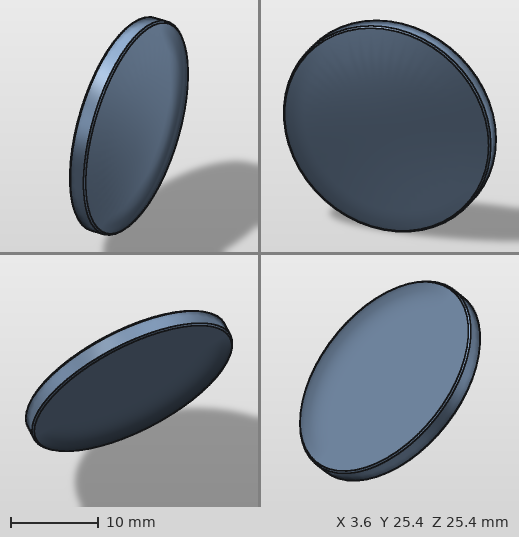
import cadquery as cq
import math

diameter = 25.4
center_thickness = 3.6
edge_thickness = 2.08
bevel = 0.2

rim_radius = diameter / 2
dome_radius = rim_radius - bevel
dome_height = center_thickness - edge_thickness
sphere_radius = (dome_radius**2 + dome_height**2) / (2 * dome_height)

mid_radius = dome_radius / 2
mid_x = center_thickness - sphere_radius + math.sqrt(sphere_radius**2 - mid_radius**2)

half_section = (
    cq.Workplane("XY")
    .moveTo(0, 0)
    .lineTo(0, rim_radius - bevel)
    .lineTo(bevel, rim_radius)
    .lineTo(edge_thickness - bevel, rim_radius)
    .lineTo(edge_thickness, dome_radius)
    .threePointArc((mid_x, mid_radius), (center_thickness, 0))
    .close()
)

result = half_section.revolve(360, (0, 0, 0), (1, 0, 0))